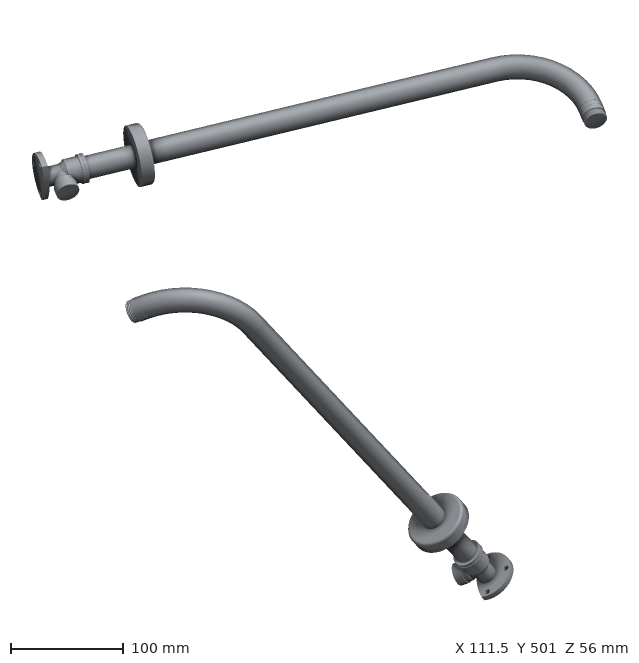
import cadquery as cq
import math

TOTAL_LENGTH = 501.0
TOTAL_WIDTH = 111.5

TUBE_RADIUS = 11.0
TAIL_RADIUS = 10.5
BEND_RADIUS = 68.0
OUTLET_Y = TOTAL_LENGTH - TUBE_RADIUS
BEND_START_Y = OUTLET_Y - BEND_RADIUS

FLANGE_RADIUS = 28.0
FLANGE_FRONT_Y = 86.0
FLANGE_THICKNESS = 12.5
FLANGE_BACK_Y = FLANGE_FRONT_Y + FLANGE_THICKNESS
FLANGE_ROUNDING = 2.5

OUTLET_END_X = TOTAL_WIDTH - FLANGE_RADIUS
NIPPLE_RADIUS = 10.5
NIPPLE_LENGTH = 6.0
NIPPLE_START_X = OUTLET_END_X - NIPPLE_LENGTH
THREAD_COUNT = 4
THREAD_PITCH = NIPPLE_LENGTH / THREAD_COUNT
THREAD_DEPTH = 0.5
TUBE_GROOVE_WIDTH = 1.0
TUBE_GROOVE_DEPTH = 0.2
TUBE_GROOVE_OFFSETS = (0.0, 4.5)

PLATE_RADIUS = 23.5
PLATE_THICKNESS = 5.5
PLATE_CORNER_X = 6.0
PLATE_SIDE_X = 11.0
PLATE_HOLE_RADIUS = 2.5
PLATE_HOLE_CIRCLE_RADIUS = 19.0
PLATE_HOLE_ANGLES = (90, 180, 270)
STEM_RADIUS = 9.0
CONE_RADIUS = 11.0
CONE_START_Y = 19.0
SOCKET_START_Y = 23.5
SOCKET_RADIUS = 12.0
SOCKET_END_Y = 36.5

BRANCH_Y = 19.0
BRANCH_RADIUS = 8.5
NECK_RADIUS = 9.5
NECK_START_X = 9.0
NECK_CHAMFER = 1.0
CAP_START_X = 14.5
CAP_END_X = 22.5
CAP_RADIUS = 10.5

RING_RADIUS = 13.5
RING_THICKNESS = 5.5
RING_GROOVE_WIDTH = 1.5
RING_GROOVE_DEPTH = 0.5


def rod_along_y(radius, start, end):
    return cq.Workplane("XZ", origin=(0, start, 0)).circle(radius).extrude(start - end)


def rod_along_x(radius, start, end, y):
    return cq.Workplane("YZ", origin=(start, y, 0)).circle(radius).extrude(end - start)


def make_tube():
    """Bent tube whose narrower tail passes through the flange and ring and butts on the tee."""
    bend_reach = BEND_RADIUS * math.sin(math.radians(45))
    bend_middle = (BEND_RADIUS - bend_reach, BEND_START_Y + bend_reach)
    axis = (
        cq.Workplane("XY")
        .moveTo(0, FLANGE_BACK_Y)
        .lineTo(0, BEND_START_Y)
        .threePointArc(bend_middle, (BEND_RADIUS, OUTLET_Y))
        .lineTo(NIPPLE_START_X, OUTLET_Y)
    )
    tube = cq.Workplane("XZ", origin=(0, FLANGE_BACK_Y, 0)).circle(TUBE_RADIUS).sweep(axis)
    tube = tube.union(rod_along_y(TAIL_RADIUS, SOCKET_END_Y, FLANGE_BACK_Y))
    for offset in TUBE_GROOVE_OFFSETS:
        start = BEND_RADIUS + offset
        end = start + TUBE_GROOVE_WIDTH
        core = rod_along_x(TUBE_RADIUS - TUBE_GROOVE_DEPTH, start, end, OUTLET_Y)
        tube = tube.cut(rod_along_x(2 * TUBE_RADIUS, start, end, OUTLET_Y).cut(core))
    return tube


def make_nipple():
    """Threaded outlet end, as a row of V-shaped ridges on a core."""
    core_radius = NIPPLE_RADIUS - THREAD_DEPTH
    profile = cq.Workplane("XY").moveTo(NIPPLE_START_X, 0).lineTo(NIPPLE_START_X, core_radius)
    for i in range(THREAD_COUNT):
        root_x = NIPPLE_START_X + i * THREAD_PITCH
        profile = profile.lineTo(root_x + THREAD_PITCH / 2, NIPPLE_RADIUS)
        profile = profile.lineTo(root_x + THREAD_PITCH, core_radius)
    ridges = profile.lineTo(OUTLET_END_X, 0).close().revolve(360, (0, 0), (1, 0))
    return ridges.translate((0, OUTLET_Y, 0))


def make_flange():
    flange = rod_along_y(FLANGE_RADIUS, FLANGE_FRONT_Y, FLANGE_BACK_Y)
    flange = flange.faces(">Y").edges().fillet(FLANGE_ROUNDING)
    return flange.cut(rod_along_y(TAIL_RADIUS, FLANGE_FRONT_Y, FLANGE_BACK_Y))


def make_plate():
    """Round plate cut back on its +X side by a shallower arc."""
    corner_z = math.sqrt(PLATE_RADIUS**2 - PLATE_CORNER_X**2)
    plate = (
        cq.Workplane("XZ")
        .moveTo(PLATE_CORNER_X, corner_z)
        .threePointArc((-PLATE_RADIUS, 0), (PLATE_CORNER_X, -corner_z))
        .threePointArc((PLATE_SIDE_X, 0), (PLATE_CORNER_X, corner_z))
        .close()
        .extrude(-PLATE_THICKNESS)
    )
    for angle in PLATE_HOLE_ANGLES:
        x = PLATE_HOLE_CIRCLE_RADIUS * math.cos(math.radians(angle))
        z = PLATE_HOLE_CIRCLE_RADIUS * math.sin(math.radians(angle))
        plate = plate.cut(rod_along_y(PLATE_HOLE_RADIUS, 0, PLATE_THICKNESS).translate((x, 0, z)))
    return plate


def make_tee():
    stem_and_socket = (
        cq.Workplane("XY")
        .moveTo(0, PLATE_THICKNESS)
        .lineTo(STEM_RADIUS, PLATE_THICKNESS)
        .lineTo(STEM_RADIUS, CONE_START_Y)
        .lineTo(CONE_RADIUS, SOCKET_START_Y)
        .lineTo(SOCKET_RADIUS, SOCKET_START_Y)
        .lineTo(SOCKET_RADIUS, SOCKET_END_Y)
        .lineTo(0, SOCKET_END_Y)
        .close()
        .revolve(360, (0, 0), (0, 1))
    )
    branch = rod_along_x(BRANCH_RADIUS, 0, CAP_START_X, BRANCH_Y)
    neck = rod_along_x(NECK_RADIUS, NECK_START_X, CAP_START_X, BRANCH_Y)
    neck = neck.faces("<X").edges().chamfer(NECK_CHAMFER)
    return make_plate().union(stem_and_socket).union(branch).union(neck)


def make_ring():
    ring_end_y = SOCKET_END_Y + RING_THICKNESS
    ring = rod_along_y(RING_RADIUS, SOCKET_END_Y, ring_end_y)
    groove_start = (SOCKET_END_Y + ring_end_y - RING_GROOVE_WIDTH) / 2
    groove_end = groove_start + RING_GROOVE_WIDTH
    groove_floor = rod_along_y(RING_RADIUS - RING_GROOVE_DEPTH, groove_start, groove_end)
    ring = ring.cut(rod_along_y(RING_RADIUS, groove_start, groove_end).cut(groove_floor))
    return ring.cut(rod_along_y(TAIL_RADIUS, SOCKET_END_Y, ring_end_y))


tube = make_tube()
nipple = make_nipple()
flange = make_flange()
tee = make_tee()
ring = make_ring()
cap = rod_along_x(CAP_RADIUS, CAP_START_X, CAP_END_X, BRANCH_Y)

result = cq.Compound.makeCompound(
    [tube.val(), nipple.val(), flange.val(), tee.val(), ring.val(), cap.val()]
)